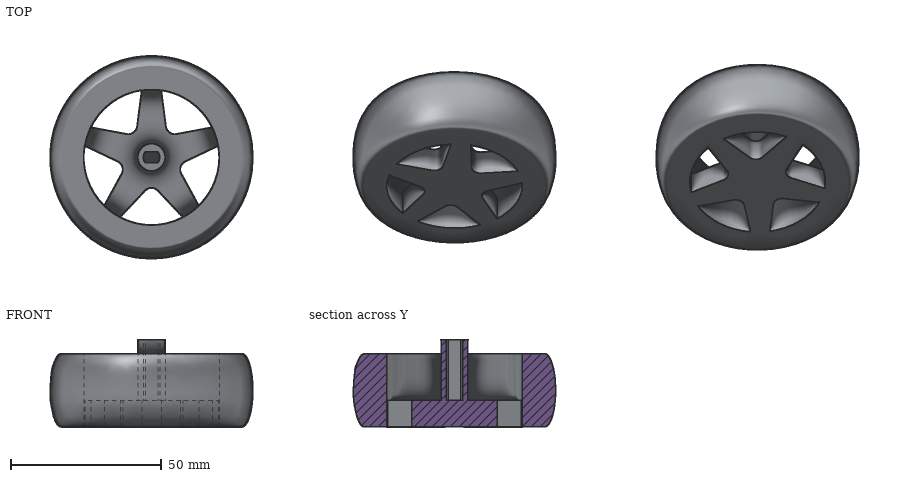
import cadquery as cq
import math

tyre_width = 24.45
tread_radius = 33.75
side_face_radius = 30.0
bore_radius = 45.05 / 2

spoke_count = 5
spoke_thickness = 9.0
spoke_root_half_width = 6.15
spoke_tip_half_width = 3.25
spoke_overlap = 1.35
valley_fillet = 3.0

hub_diameter = 9.1
hub_top = 29.1
socket_diameter = 5.5
socket_across_flats = 3.65
socket_depth = hub_top - spoke_thickness


def make_tyre():
    half_width = tyre_width / 2
    bulge = tread_radius - side_face_radius
    return (
        cq.Workplane("XZ")
        .moveTo(bore_radius, 0)
        .lineTo(side_face_radius, 0)
        .ellipseArc(bulge, half_width, -90, 90, startAtCurrent=True)
        .lineTo(bore_radius, tyre_width)
        .close()
        .revolve(360, (0, 0, 0), (0, 1, 0))
    )


def make_spokes():
    """Star of tapered spokes whose first arm points along +Y."""
    taper = (spoke_root_half_width - spoke_tip_half_width) / bore_radius
    tip_radius = bore_radius + spoke_overlap
    end_half_width = spoke_root_half_width - taper * tip_radius
    half_pitch = math.pi / spoke_count
    valley_radius = spoke_root_half_width / (math.sin(half_pitch) + taper * math.cos(half_pitch))
    tip_angle = math.atan2(end_half_width, tip_radius)
    corner_radius = math.hypot(end_half_width, tip_radius)

    outline = []
    for index in range(spoke_count):
        spoke_angle = math.pi / 2 + index * 2 * half_pitch
        for radius, offset in (
            (corner_radius, -tip_angle),
            (corner_radius, tip_angle),
            (valley_radius, half_pitch),
        ):
            angle = spoke_angle + offset
            outline.append((radius * math.cos(angle), radius * math.sin(angle)))

    star = cq.Workplane("XY").polyline(outline).close().extrude(spoke_thickness)
    mid_radius = (valley_radius + tip_radius) / 2
    valley_edges = star.edges("|Z").edges(
        cq.selectors.BoxSelector(
            (-mid_radius, -mid_radius, 0),
            (mid_radius, mid_radius, spoke_thickness),
        )
    )
    return valley_edges.fillet(valley_fillet)


def make_hub():
    return cq.Workplane("XY").circle(hub_diameter / 2).extrude(hub_top)


def make_socket():
    flats = cq.Workplane("XY").rect(socket_diameter, socket_across_flats).extrude(socket_depth)
    round_bore = cq.Workplane("XY").circle(socket_diameter / 2).extrude(socket_depth)
    return round_bore.intersect(flats).translate((0, 0, hub_top - socket_depth))


result = make_tyre().union(make_spokes()).union(make_hub()).cut(make_socket())